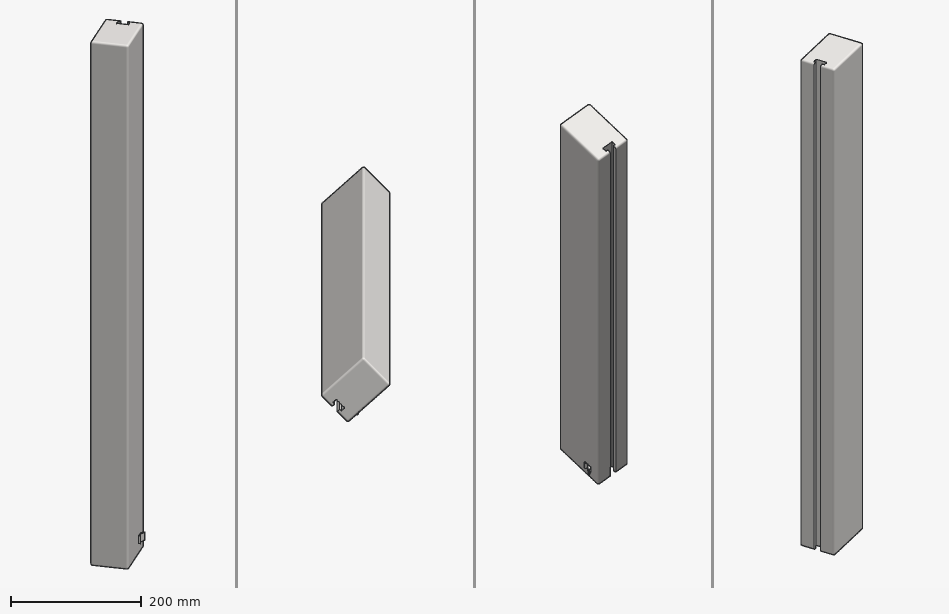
import cadquery as cq

BODY_WIDTH = 61.0
BODY_DEPTH = 90.0
BODY_HEIGHT = 878
EDGE_RADIUS = 3.5

SLOT_MOUTH_WIDTH = 11.0
SLOT_HEAD_WIDTH = 18.0
SLOT_LIP_THICKNESS = 6.0
SLOT_DEPTH = 13.0

ROCKER_WIDTH = 13.0
ROCKER_BOTTOM = 18.0
ROCKER_FRONT = 15.0
ROCKER_LOW_RISE = 3.0
ROCKER_LOW_LENGTH = 2.0
ROCKER_VALLEY = 20.0
ROCKER_TIP = 31.0
ROCKER_TIP_LENGTH = 3.0
ROCKER_TIP_RISE = 5.0
ROCKER_BACK = 28.0
ROCKER_ROOT = 2.0

side_face = BODY_WIDTH / 2
back_face = BODY_DEPTH / 2


def make_body():
    """Rectangular bar standing on Z = 0, rounded on all twelve edges."""
    bar = cq.Workplane("XY").box(BODY_WIDTH, BODY_DEPTH, BODY_HEIGHT, centered=(True, True, False))
    return bar.edges().fillet(EDGE_RADIUS)


def make_slot():
    """T-shaped channel: a narrow mouth at the back face and a wider head behind it."""
    mouth = (
        cq.Workplane("XY")
        .center(0, back_face - SLOT_DEPTH / 2)
        .rect(SLOT_MOUTH_WIDTH, SLOT_DEPTH)
        .extrude(BODY_HEIGHT)
    )
    head = (
        cq.Workplane("XY")
        .center(0, back_face - (SLOT_LIP_THICKNESS + SLOT_DEPTH) / 2)
        .rect(SLOT_HEAD_WIDTH, SLOT_DEPTH - SLOT_LIP_THICKNESS)
        .extrude(BODY_HEIGHT)
    )
    return mouth.union(head)


def make_rocker():
    """Rocker with a low front end, a valley at the side face and a raised back end."""
    root = side_face - ROCKER_ROOT
    outline = [
        (root, ROCKER_FRONT),
        (side_face + ROCKER_LOW_RISE, ROCKER_FRONT),
        (side_face + ROCKER_LOW_RISE, ROCKER_FRONT + ROCKER_LOW_LENGTH),
        (side_face, ROCKER_VALLEY),
        (side_face + ROCKER_TIP_RISE, ROCKER_TIP - ROCKER_TIP_LENGTH),
        (side_face + ROCKER_TIP_RISE, ROCKER_TIP),
        (side_face, ROCKER_BACK),
        (root, ROCKER_BACK),
    ]
    return (
        cq.Workplane("XY")
        .workplane(offset=ROCKER_BOTTOM)
        .polyline(outline)
        .close()
        .extrude(ROCKER_WIDTH)
    )


result = make_body().cut(make_slot()).union(make_rocker())